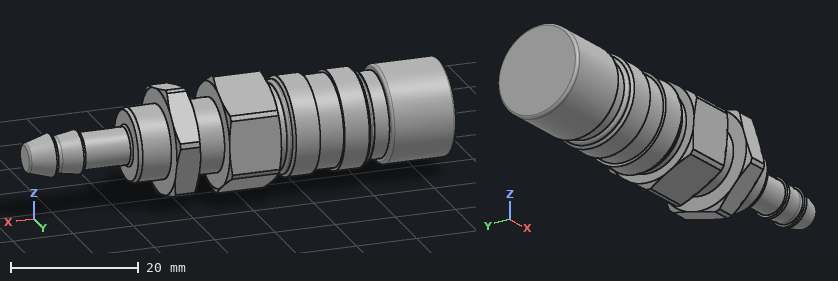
import cadquery as cq
import math

length = 69.0

sleeve_end = 10.8
sleeve_dia = 16.0
sleeve_round = 0.5
neck_dia = 14.0

collar_start = 13.3
collar_end = 27.9
collar_dia = 16.15
collar_lip_dia = 15.1
front_lip_round = 0.55
back_lip_round = 0.4
front_band_start = 14.55
front_band_end = 18.6
back_band_start = 22.7
back_band_end = 26.7
band_slope_length = 0.4

across_flats = 17.0
across_corners = 19.1
hex_face_dia = 17.1
hex_chamfer_length = 0.35
body_hex_start = 29.3
body_hex_end = 37.9
body_hex_angle = 25.4
lock_nut_start = 42.8
lock_nut_end = 46.7
lock_nut_angle = 45.7

body_dia = 12.0
body_end = 52.1
body_chamfer_length = 0.6
body_face_dia = 11.4

stem_dia = 6.1
stem_base_chamfer = 0.35
barb_dia = 7.2
barb_edge_dia = 6.9
barb_edge_length = 0.35
first_barb_start = 60.0
first_barb_end = 63.75
second_barb_start = 64.5
tip_dia = 4.75
tip_round = 0.4


def revolve_profile(stations):
    """Solid of revolution about X through (position, diameter) stations, closed along the axis."""
    start = stations[0][0]
    end = stations[-1][0]
    points = [(x, dia / 2) for x, dia in stations]
    outline = cq.Workplane("XY").polyline([(start, 0)] + points + [(end, 0)]).close()
    return outline.revolve(360, (0, 0), (1, 0))


def cylinder(start, end, dia):
    return revolve_profile([(start, dia), (end, dia)])


def sleeve():
    return cylinder(0, sleeve_end, sleeve_dia).edges("<X or >X").fillet(sleeve_round)


def collar():
    body = revolve_profile([
        (collar_start, collar_lip_dia),
        (front_band_start - band_slope_length, collar_lip_dia),
        (front_band_start, collar_dia),
        (front_band_end, collar_dia),
        (front_band_end, collar_lip_dia),
        (back_band_start, collar_lip_dia),
        (back_band_start, collar_dia),
        (back_band_end, collar_dia),
        (back_band_end + band_slope_length, collar_lip_dia),
        (collar_end, collar_lip_dia),
    ])
    body = body.edges("<X").fillet(front_lip_round)
    return body.edges(">X").fillet(back_lip_round)


def hexagon(start, end, corner_angle):
    """Hexagon along X with turned corners; corner_angle lifts one corner above the -Y direction."""
    corner_dia = across_flats / math.cos(math.radians(30))
    prism = cq.Workplane("YZ").polygon(6, corner_dia).extrude(end - start)
    prism = prism.rotate((0, 0, 0), (1, 0, 0), -corner_angle).translate((start, 0, 0))
    blank = revolve_profile([
        (start, hex_face_dia),
        (start + hex_chamfer_length, across_corners),
        (end - hex_chamfer_length, across_corners),
        (end, hex_face_dia),
    ])
    return prism.intersect(blank)


def threaded_body():
    return revolve_profile([
        (body_hex_end, body_dia),
        (body_end - body_chamfer_length, body_dia),
        (body_end, body_face_dia),
    ])


def hose_stem():
    stem = revolve_profile([
        (body_end, stem_dia + 2 * stem_base_chamfer),
        (body_end + stem_base_chamfer, stem_dia),
        (first_barb_start, stem_dia),
        (first_barb_start, barb_edge_dia),
        (first_barb_start + barb_edge_length, barb_dia),
        (first_barb_end, stem_dia),
        (second_barb_start, stem_dia),
        (second_barb_start, barb_edge_dia),
        (second_barb_start + barb_edge_length, barb_dia),
        (length, tip_dia),
    ])
    return stem.edges(">X").fillet(tip_round)


result = (
    sleeve()
    .union(cylinder(sleeve_end, body_hex_start, neck_dia))
    .union(collar())
    .union(hexagon(body_hex_start, body_hex_end, body_hex_angle))
    .union(threaded_body())
    .union(hexagon(lock_nut_start, lock_nut_end, lock_nut_angle))
    .union(hose_stem())
)